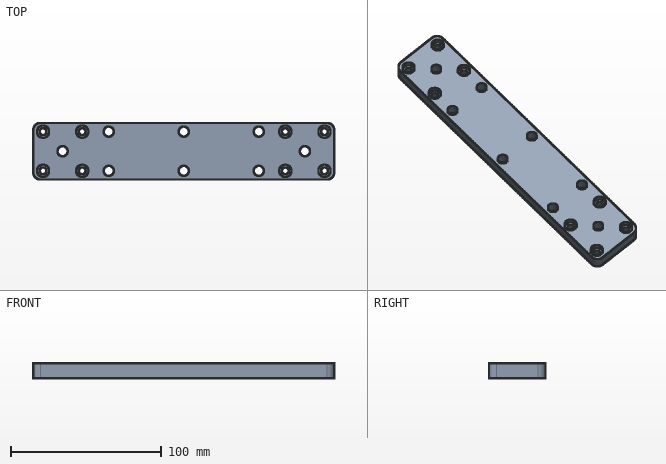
import cadquery as cq

length = 200.8
width = 38.0
thickness = 10.0
corner_radius = 5.0

hole_diameter = 6.6
middle_hole_pitch = 50.0
end_hole_x = 80.7

row_offset = 13.0
screw_diameter = 4.5
counterbore_diameter = 8.2
counterbore_depth = 4.0

middle_points = [(i * middle_hole_pitch, side * row_offset) for i in (-1, 0, 1) for side in (-1, 1)]
end_points = [(-end_hole_x, 0), (end_hole_x, 0)]
screw_points = [
    (end_x + dx, dy)
    for end_x, _ in end_points
    for dx in (-row_offset, row_offset)
    for dy in (-row_offset, row_offset)
]

plate = cq.Workplane("XY").box(length, width, thickness, centered=(True, True, False))
plate = plate.edges("|Z").fillet(corner_radius)

plate = plate.faces(">Z").workplane().pushPoints(middle_points + end_points).hole(hole_diameter)

result = (
    plate.faces(">Z")
    .workplane()
    .pushPoints(screw_points)
    .cboreHole(screw_diameter, counterbore_diameter, counterbore_depth)
)